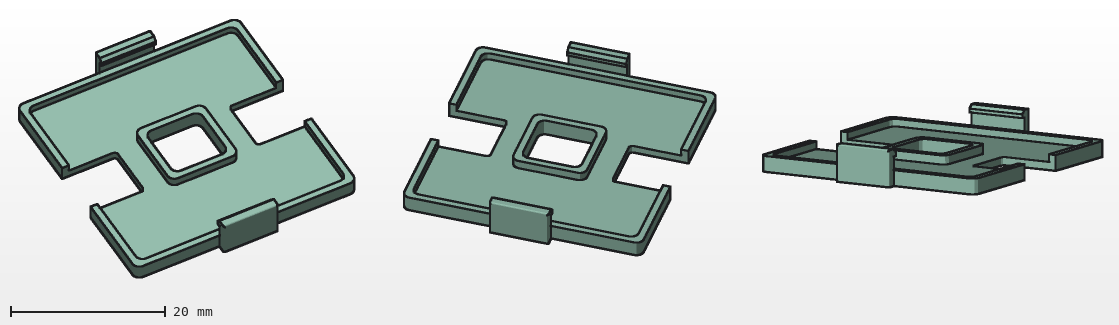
import cadquery as cq

tray_side = 32.5
tray_height = 2.1
floor_thickness = 1.1
rim_width = 1.0
tray_corner_radius = 1.0
pocket_corner_radius = 1.0

window_side = 8.0
window_corner_radius = 1.0
frame_wall = 1.0
frame_corner_radius = 1.0
frame_height = 2.3

notch_width = 7.7
notch_depth = 7.95
notch_corner_radius = 0.5

clip_width = 8.0
clip_thickness = 1.2
clip_height = 4.9
hook_reach = 0.5
hook_height = 1.0
clip_edge_radius = 0.2


def rounded_block(side, height, corner_radius):
    """Square block centred on Z, standing on Z = 0, with rounded upright edges."""
    return (
        cq.Workplane("XY")
        .rect(side, side)
        .extrude(height)
        .edges("|Z")
        .fillet(corner_radius)
    )


def make_tray():
    """Shallow square tray with a rim all round."""
    pocket = rounded_block(tray_side - 2 * rim_width, tray_height, pocket_corner_radius)
    pocket = pocket.translate((0, 0, floor_thickness))
    return rounded_block(tray_side, tray_height, tray_corner_radius).cut(pocket)


def make_notch():
    """Cutter for the back notch, rounded at its two inner corners."""
    return (
        cq.Workplane("XY")
        .center(0, tray_side / 2)
        .rect(notch_width, 2 * notch_depth)
        .extrude(tray_height)
        .edges("|Z and <Y")
        .fillet(notch_corner_radius)
    )


def make_clip():
    """Right-hand clip: an upright wall with an inward hook, sloped on top."""
    inner_x = tray_side / 2
    outer_x = inner_x + clip_thickness
    hook_x = inner_x - hook_reach
    clip = (
        cq.Workplane("XZ")
        .moveTo(inner_x, 0)
        .lineTo(outer_x, 0)
        .lineTo(outer_x, clip_height)
        .lineTo(inner_x, clip_height)
        .lineTo(hook_x, clip_height - hook_reach)
        .lineTo(hook_x, clip_height - hook_height)
        .lineTo(inner_x, clip_height - hook_height)
        .close()
        .extrude(clip_width / 2, both=True)
    )
    outer_edges = clip.faces(">X").edges("|Z or >Z")
    return outer_edges.fillet(clip_edge_radius)


frame = rounded_block(window_side + 2 * frame_wall, frame_height, frame_corner_radius)
window = rounded_block(window_side, frame_height, window_corner_radius)
notch = make_notch()
clip = make_clip()

result = make_tray().union(frame).cut(window)
for turn in (0, 180):
    result = result.cut(notch.rotate((0, 0, 0), (0, 0, 1), turn))
    result = result.union(clip.rotate((0, 0, 0), (0, 0, 1), turn))